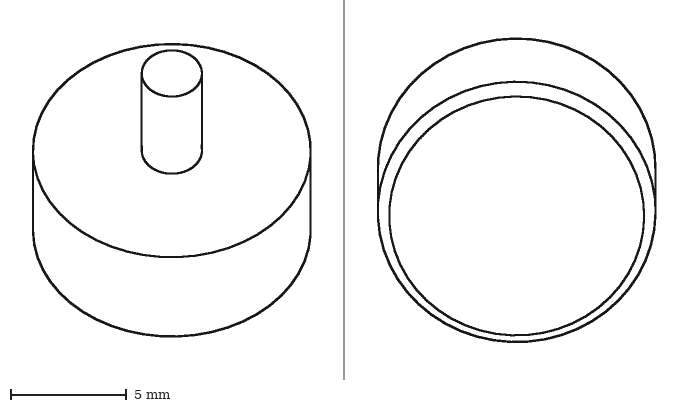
import cadquery as cq

total_height = 12.7
body_diameter = 12.0
pin_diameter = 2.6
pin_length = 5.2
chamfer_size = 0.5
cone_height = 1.66

body_radius = body_diameter / 2
pin_radius = pin_diameter / 2
cone_radius = body_radius - chamfer_size
chamfer_top = cone_height + chamfer_size
body_top = total_height - pin_length

profile = (
    cq.Workplane("XZ")
    .moveTo(0, 0)
    .lineTo(cone_radius, cone_height)
    .lineTo(body_radius, chamfer_top)
    .lineTo(body_radius, body_top)
    .lineTo(pin_radius, body_top)
    .lineTo(pin_radius, total_height)
    .lineTo(0, total_height)
    .close()
)

result = profile.revolve(360, (0, 0, 0), (0, 1, 0))